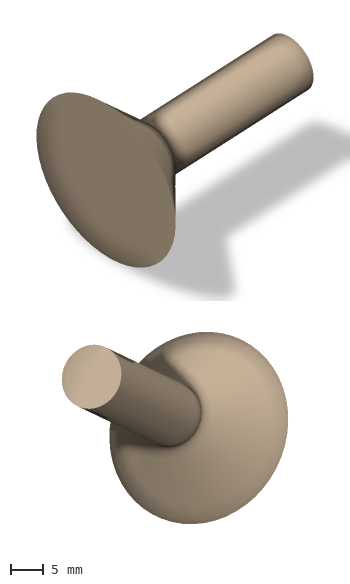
import cadquery as cq

head_diameter = 30.0
shank_diameter = 10.0
head_length = 10.0
shank_length = 30.0

head_radius = head_diameter / 2
shank_radius = shank_diameter / 2
total_length = head_length + shank_length


def make_pin():
    """Revolve the half profile about the Y axis, with the flat head face at Y = 0."""
    half_profile = (
        cq.Workplane("YZ")
        .moveTo(0, 0)
        .lineTo(0, head_radius)
        .lineTo(head_length, shank_radius)
        .lineTo(total_length, shank_radius)
        .lineTo(total_length, 0)
        .close()
    )
    return half_profile.revolve(360, (0, 0, 0), (1, 0, 0))


result = make_pin()